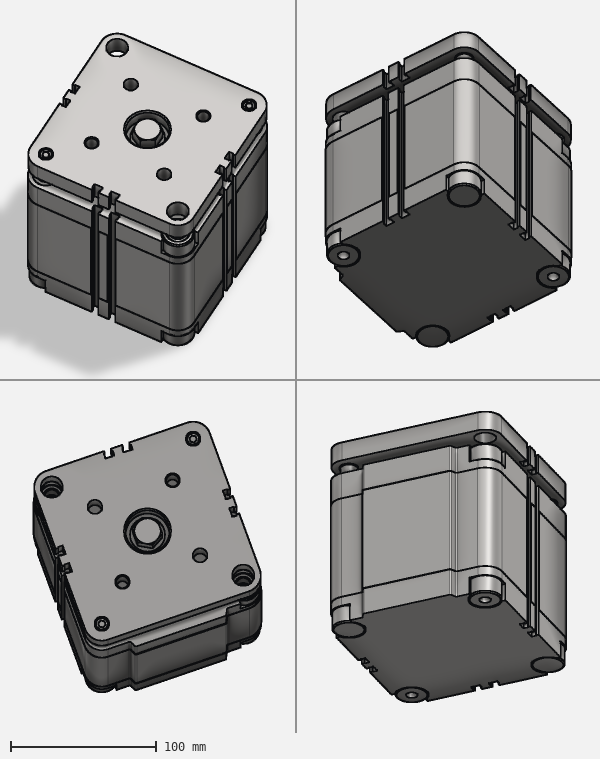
import cadquery as cq
import math

total_height = 140.5
body_width = 128.0
overall_depth = 133.0
cap_width = 127.6
body_height = 116.2
plate_width = 127.0
plate_thickness = 14.0
cap_height = 19.7
guide_offset = 51.4

plate_bottom = total_height - plate_thickness
half_body = body_width / 2
half_cap = cap_width / 2
middle_height = body_height - 2 * cap_height

slot_spacing = 13.2
slot_mouth = 5.0
slot_inner = 6.5
slot_depth = 5.8
slot_lip = 2.4

cover_reach = overall_depth - half_body
cover_cap_reach = 68.4
cover_base_half = 35.4
cover_top_half = 33.2
cover_root_radius = 1.4
cover_edge_radius = 1.1

boss_diameter = 23.0
boss_chamfer = 1.0
notch_start = 45.1
notch_height = 12.8

mount_diameter = 8.0
mount_thread_diameter = 9.8
mount_thread_depth = 14.0
mount_countersink = 11.4
mount_recess_diameter = 15.5
mount_recess_rim = 16.5

rod_diameter = 25.0
rod_flats = 22.5
rod_collar = 1.3
guide_diameter = 12.0
guide_shoulder_diameter = 13.0
guide_shoulder = 0.5
guide_seat_diameter = 18.0
guide_seat_depth = 0.3

recess_diameter = 30.0
recess_chamfer = 1.1
recess_depth = 10.0
nut_flats = 18.0
nut_chamfer_height = 1.1
nut_chamfer_width = 2.2
washer_diameter = 24.0
washer_thickness = 0.5
pattern_offset = 28.2
plain_hole_diameter = 10.0
thread_diameter = 8.5
thread_chamfer_diameter = 10.0
access_diameter = 15.0

seat_diameter = 10.0
seat_depth = 1.4
screw_diameter = 9.0
screw_height = 0.7
screw_chamfer = 0.49
socket_flats = 4.5

guide_points = [(-guide_offset, -guide_offset), (guide_offset, guide_offset)]
mount_points = [(-guide_offset, guide_offset), (guide_offset, -guide_offset)]
threaded_points = [(-pattern_offset, -pattern_offset), (pattern_offset, pattern_offset)]
plain_points = [(-pattern_offset, pattern_offset), (pattern_offset, -pattern_offset)]


def cylinder(point, diameter, bottom, height):
    return cq.Workplane("XY", origin=(*point, bottom)).circle(diameter / 2).extrude(height)


def rounded_block(width, bottom, height):
    """Square block whose corner arcs are centred on the guide axes."""
    block = cq.Workplane("XY", origin=(0, 0, bottom)).rect(width, width).extrude(height)
    return block.edges("|Z").fillet(width / 2 - guide_offset)


def countersink(point, diameter, rim_diameter, top):
    """45 degree cone that widens a hole to its rim diameter."""
    depth = (rim_diameter - diameter) / 2
    cone = cq.Solid.makeCone(diameter / 2, rim_diameter / 2, depth)
    return cq.Workplane(cone.translate(cq.Vector(*point, top - depth)))


def hexagon(point, flats, bottom, height):
    """Hexagonal prism with two flats facing +X and -X."""
    corner_diameter = flats / math.cos(math.pi / 6)
    prism = cq.Workplane("XY").polygon(6, corner_diameter).extrude(height)
    return prism.rotate((0, 0, 0), (0, 0, 1), 30).translate((*point, bottom))


def cut_on_slot_axes(block, cutter):
    """Cut with a +X side cutter at both slots of the +X, -X and -Y sides."""
    for angle in (0, 180, 270):
        for shift in (-slot_spacing / 2, slot_spacing / 2):
            block = block.cut(cutter.translate((0, shift, 0)).rotate((0, 0, 0), (0, 0, 1), angle))
    return block


def slot_channel(inner, outer, width, bottom, height):
    """Straight channel on the +X side, between two distances from the centre."""
    origin = ((inner + outer) / 2, 0, bottom)
    return cq.Workplane("XY", origin=origin).rect(outer - inner, width).extrude(height)


def cut_slots(block, bottom, height):
    """Cut a pair of T-slots into the +X, -X and -Y sides."""
    floor = half_body - slot_depth
    lip = half_body - slot_lip
    mouth = slot_channel(floor, half_body, slot_mouth, bottom, height)
    groove = slot_channel(floor, lip, slot_inner, bottom, height)
    return cut_on_slot_axes(block, mouth.union(groove))


def make_cover(foot, reach, inset, bottom, height):
    """Trapezoidal cover on a +Y wall, with flared roots and rounded top edges."""
    base_half = cover_base_half - inset
    top_half = cover_top_half - inset
    flange_half = base_half + 2 * cover_root_radius
    cover = (
        cq.Workplane("XY", origin=(0, 0, bottom))
        .moveTo(-flange_half, foot - cover_root_radius)
        .lineTo(-flange_half, foot)
        .lineTo(-base_half, foot)
        .lineTo(-top_half, reach)
        .lineTo(top_half, reach)
        .lineTo(base_half, foot)
        .lineTo(flange_half, foot)
        .lineTo(flange_half, foot - cover_root_radius)
        .close()
        .extrude(height)
    )
    middle = bottom + height / 2
    for half_span, y, radius in (
        (top_half, reach, cover_edge_radius),
        (base_half, foot, cover_root_radius),
    ):
        corners = [cq.selectors.NearestToPointSelector((side * half_span, y, middle)) for side in (-1, 1)]
        edges = [cover.edges("|Z").edges(corner).val() for corner in corners]
        cover = cover.newObject(edges).fillet(radius)
    return cover


def notch(point, bottom):
    """Square corner pocket that leaves a chamfered round boss standing."""
    size = half_body - notch_start
    middle = notch_start + size / 2
    centre = (math.copysign(middle, point[0]), math.copysign(middle, point[1]))
    pocket = cq.Workplane("XY", origin=(*centre, bottom)).rect(size, size).extrude(notch_height)
    boss = cylinder(point, boss_diameter, bottom, notch_height)
    end = "<Z" if bottom == 0 else ">Z"
    chamfered_boss = boss.faces(end).edges().chamfer(boss_chamfer)
    return pocket.union(boss).cut(chamfered_boss)


def make_housing():
    """Slotted body with a slightly wider middle, a +Y cover and corner bosses."""
    housing = rounded_block(cap_width, 0, body_height)
    housing = housing.union(rounded_block(body_width, cap_height, middle_height))
    housing = cut_slots(housing, 0, body_height)
    relief = slot_channel(half_cap, half_body, slot_inner, cap_height, middle_height)
    housing = cut_on_slot_axes(housing, relief)
    housing = housing.union(make_cover(half_body, cover_reach, 0, cap_height, middle_height))
    for bottom in (0, body_height - cap_height):
        cap_cover = make_cover(half_cap, cover_cap_reach, half_body - half_cap, bottom, cap_height)
        housing = housing.union(cap_cover)
    for point in guide_points + mount_points:
        housing = housing.cut(notch(point, 0))
    seat_floor = body_height - guide_seat_depth
    for point in guide_points:
        housing = housing.cut(cylinder(point, guide_seat_diameter, seat_floor, guide_seat_depth))
    recess_floor = body_height - (mount_recess_rim - mount_recess_diameter) / 2
    thread_bottom = recess_floor - mount_thread_depth
    for point in mount_points:
        housing = housing.cut(notch(point, body_height - notch_height))
        housing = housing.cut(countersink(point, mount_recess_diameter, mount_recess_rim, body_height))
        housing = housing.cut(cylinder(point, mount_diameter, 0, body_height))
        housing = housing.cut(cylinder(point, mount_thread_diameter, thread_bottom, mount_thread_depth))
        housing = housing.cut(countersink(point, mount_thread_diameter, mount_countersink, recess_floor))
    return housing


def make_plate():
    """Yoke plate with its slots, holes, guide screw ends and central recess."""
    plate = rounded_block(plate_width, plate_bottom, plate_thickness)
    plate = cut_slots(plate, plate_bottom, plate_thickness)
    for point in plain_points:
        plate = plate.cut(cylinder(point, plain_hole_diameter, plate_bottom, plate_thickness))
    for point in mount_points:
        plate = plate.cut(cylinder(point, access_diameter, plate_bottom, plate_thickness))
    for point in threaded_points:
        plate = plate.cut(cylinder(point, thread_diameter, plate_bottom, plate_thickness))
        plate = plate.cut(countersink(point, thread_diameter, thread_chamfer_diameter, total_height))
    for point in guide_points:
        seat_floor = total_height - seat_depth
        plate = plate.cut(cylinder(point, seat_diameter, seat_floor, seat_depth))
        screw = cylinder(point, screw_diameter, seat_floor, screw_height)
        screw = screw.faces(">Z").edges().chamfer(screw_chamfer)
        plate = plate.union(screw.cut(hexagon(point, socket_flats, seat_floor, screw_height)))
    recess_floor = total_height - recess_depth
    plate = plate.cut(cylinder((0, 0), recess_diameter, recess_floor, recess_depth))
    rim_diameter = recess_diameter + 2 * recess_chamfer
    return plate.cut(countersink((0, 0), recess_diameter, rim_diameter, total_height))


def make_nut():
    """Rod end hexagon with its top corners turned off to a cone."""
    bottom = total_height - recess_depth
    nut = hexagon((0, 0), nut_flats, bottom, recess_depth)
    blank = cylinder((0, 0), nut_flats + 2 * nut_chamfer_width, bottom, recess_depth)
    blank = blank.faces(">Z").edges().chamfer(nut_chamfer_height, nut_chamfer_width)
    washer = cylinder((0, 0), washer_diameter, bottom, washer_thickness)
    return nut.intersect(blank).union(washer)


def make_piston():
    """Yoke plate with the piston rod and both guide rods."""
    gap = plate_bottom - body_height
    rod = cylinder((0, 0), rod_diameter, body_height, gap)
    flat_bottom = body_height + rod_collar
    flats = cq.Workplane("XY", origin=(0, 0, flat_bottom))
    flats = flats.rect(rod_diameter, rod_flats).extrude(gap - rod_collar)
    collar = cylinder((0, 0), rod_diameter, body_height, rod_collar)
    rod = rod.intersect(flats.union(collar))
    piston = make_plate().union(rod).union(make_nut())
    for point in guide_points:
        guide_bottom = body_height - guide_seat_depth
        piston = piston.union(cylinder(point, guide_diameter, guide_bottom, plate_bottom - guide_bottom))
        shoulder = cylinder(point, guide_shoulder_diameter, plate_bottom - guide_shoulder, guide_shoulder)
        piston = piston.union(shoulder)
    return piston


housing = make_housing()
piston = make_piston()

result = cq.Compound.makeCompound([housing.val(), piston.val()])